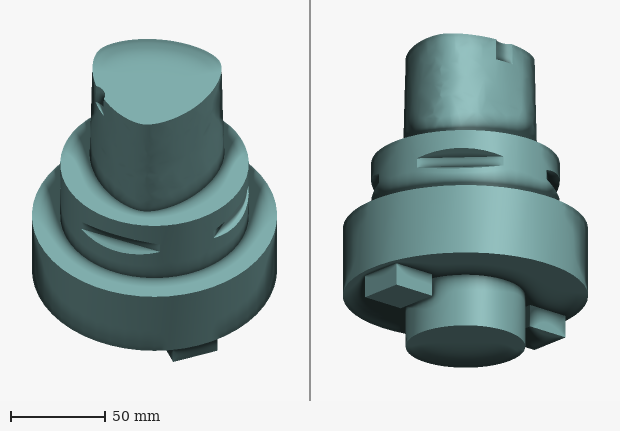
import cadquery as cq
import math

total_height = 164.0
drive_lug_bottom = 16.5
flange_bottom = 28.7
flange_top = 66.9
collar_top = 103.8

spigot_diameter = 63.5
flange_diameter = 130.0
collar_diameter = 100.0

lug_size = 25.1
lug_center_radius = 47.2

groove_count = 4
groove_center_height = 87.9
groove_floor_width = 5.1
groove_floor_distance = 44.5
groove_flank_angle = 30.0
groove_cutter_overrun = 1.6

shank_base_radius = 35.8
taper_ratio = 1 / 40
lobe_height = 3.0
outline_points = 48

notch_diameter = 16.0
notch_back_distance = 28.7
notch_depth = 11.5


def cylinder(diameter, bottom, top):
    return cq.Workplane("XY", origin=(0, 0, bottom)).circle(diameter / 2).extrude(top - bottom)


def shank_outline(mean_radius, height):
    """Closed constant-width trochoid with three lobes, one of them towards +Y."""
    points = []
    for index in range(outline_points):
        angle = 2 * math.pi * index / outline_points
        along = (
            mean_radius * math.cos(angle)
            + 2 * lobe_height * math.cos(2 * angle)
            - lobe_height * math.cos(4 * angle)
        )
        across = (
            mean_radius * math.sin(angle)
            - 2 * lobe_height * math.sin(2 * angle)
            - lobe_height * math.sin(4 * angle)
        )
        points.append(cq.Vector(-across, along, height))
    return cq.Wire.assembleEdges([cq.Edge.makeSpline(points, periodic=True)])


def make_shank():
    top_radius = shank_base_radius - (total_height - collar_top) * taper_ratio
    base = shank_outline(shank_base_radius, collar_top)
    top = shank_outline(top_radius, total_height)
    return cq.Workplane(cq.Solid.makeLoft([base, top], True))


def make_notch():
    center_y = -(notch_back_distance + notch_diameter / 2)
    return cylinder(notch_diameter, total_height - notch_depth, total_height).translate((0, center_y, 0))


def make_groove():
    """Straight cutter running along Y, its trapezoid section opening towards +X."""
    mouth_distance = collar_diameter / 2 + groove_cutter_overrun
    floor_half = groove_floor_width / 2
    flare = (mouth_distance - groove_floor_distance) * math.tan(math.radians(groove_flank_angle))
    mouth_half = floor_half + flare
    return (
        cq.Workplane("XZ", origin=(0, 0, groove_center_height))
        .moveTo(groove_floor_distance, -floor_half)
        .lineTo(mouth_distance, -mouth_half)
        .lineTo(mouth_distance, mouth_half)
        .lineTo(groove_floor_distance, floor_half)
        .close()
        .extrude(collar_diameter / 2, both=True)
    )


def make_lugs():
    return (
        cq.Workplane("XY", origin=(0, 0, drive_lug_bottom))
        .pushPoints([(-lug_center_radius, 0), (lug_center_radius, 0)])
        .rect(lug_size, lug_size)
        .extrude(flange_bottom - drive_lug_bottom)
    )


collar = cylinder(collar_diameter, flange_top, collar_top)
groove_pitch = 360 / groove_count
for index in range(groove_count):
    angle = (index + 0.5) * groove_pitch
    collar = collar.cut(make_groove().rotate((0, 0, 0), (0, 0, 1), angle))

result = (
    cylinder(spigot_diameter, 0, flange_bottom)
    .union(cylinder(flange_diameter, flange_bottom, flange_top))
    .union(make_lugs())
    .union(collar)
    .union(make_shank().cut(make_notch()))
)